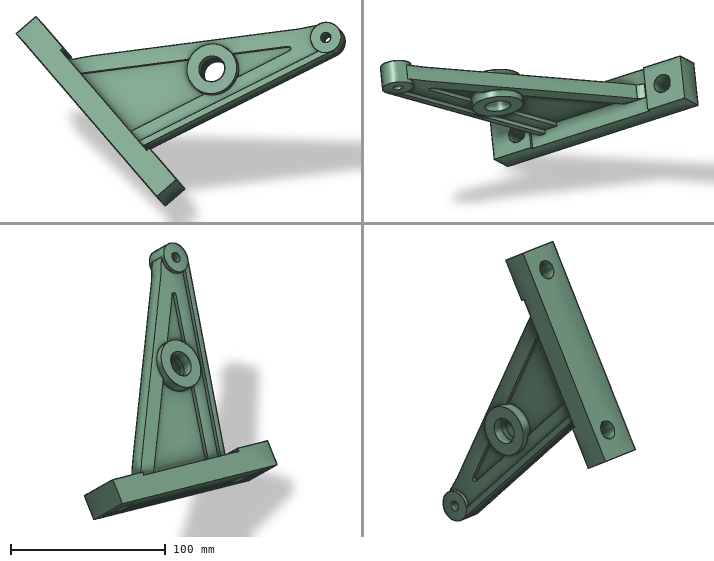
import cadquery as cq
import math

TILT_X = 34.7
TILT_Y = 23.7
TILT_Z = -4.6
PART_ORIGIN = (-92.0, -43.1, 6.3)

BAR_LENGTH = 145.0
BAR_HEIGHT = 14.7
BAR_WIDTH = 29.6
PAD_LENGTH = 28.0
PAD_HEIGHT = 2.2
MOUNT_HOLE_DIAMETER = 12.2
MID_Z = BAR_WIDTH / 2
SECOND_HOLE_DROP = 2.2
MOUNT_HOLE_CENTERS = ((15.5, MID_Z), (126.3, MID_Z - SECOND_HOLE_DROP))

ARM_THICKNESS = 9.8
WEB_THICKNESS = 4.2
FLANGE_WIDTH = 15.1
FLANGE_THICKNESS = 4.0
TIP_CENTER = (136.3, 150.0)
TIP_DIAMETER = 20.0
TIP_HOLE_DIAMETER = 6.6
FLANGE_LEAN = 14.8
LEFT_EDGE_LEAN = 34.5
FOOT_BLEND_START = (29.8, BAR_HEIGHT)
FOOT_BLEND_MIDDLE = (33.0, 15.7)
FOOT_BLEND_END = (35.0, 16.5)
LEFT_EDGE_START = (42.0, 28.0)
LEFT_EDGE_END_Y = 140.9
TIP_JOIN = (126.9, 153.4)
FOOT_ARC_MIDDLE = (38.3, 22.1)

POCKET_LEFT_X = 45.7
POCKET_RIGHT_X = 97.5
POCKET_RIGHT_LEAN = 14.5
POCKET_TIP_RADIUS = 1.7

COLLAR_CENTER = (102.5, 81.0)
COLLAR_DIAMETER = 32.8
COLLAR_BORE = 17.0
COLLARS_OVERALL_WIDTH = 19.0


def centered_slab(outline, thickness):
    """Extrude an outline on the symmetry plane equally to both sides."""
    return outline.extrude(thickness / 2, both=True)


def mid_plane():
    return cq.Workplane("XY", origin=(0, 0, MID_Z))


def cylinder(center, diameter, length):
    return centered_slab(mid_plane().moveTo(*center).circle(diameter / 2), length)


def along_line(start, lean, y):
    """Point at height y on a line through start leaning toward +X."""
    return (start[0] + (y - start[1]) * math.tan(math.radians(lean)), y)


def make_bar():
    """Bar with a pad at each end and a mounting hole through each pad."""
    bar = cq.Workplane("XY").box(BAR_LENGTH, BAR_HEIGHT, BAR_WIDTH, centered=False)
    for start_x in (0, BAR_LENGTH - PAD_LENGTH):
        pad = cq.Workplane("XY", origin=(start_x, BAR_HEIGHT, 0))
        bar = bar.union(pad.box(PAD_LENGTH, PAD_HEIGHT, BAR_WIDTH, centered=False))
    depth = BAR_HEIGHT + PAD_HEIGHT
    holes = cq.Workplane("XZ").pushPoints(MOUNT_HOLE_CENTERS).circle(MOUNT_HOLE_DIAMETER / 2)
    return bar.cut(holes.extrude(-depth))


def flange_outline():
    """Corners of the flange; its outer surface is tangent to the tip boss."""
    lean = math.radians(FLANGE_LEAN)
    radius = TIP_DIAMETER / 2
    outer_top = (TIP_CENTER[0] + radius * math.cos(lean), TIP_CENTER[1] - radius * math.sin(lean))
    outer_foot = along_line(outer_top, FLANGE_LEAN, BAR_HEIGHT)
    inner_foot = (outer_foot[0] - FLANGE_THICKNESS / math.cos(lean), BAR_HEIGHT)
    inner_top = along_line(inner_foot, FLANGE_LEAN, outer_top[1])
    return inner_foot, outer_foot, outer_top, inner_top


def tip_space():
    """Cylinder taken up by the tip boss."""
    return cylinder(TIP_CENTER, TIP_DIAMETER, FLANGE_WIDTH)


def make_tip_boss():
    return tip_space().cut(cylinder(TIP_CENTER, TIP_HOLE_DIAMETER, FLANGE_WIDTH))


def make_flange():
    """Wide strip along the right edge of the plate, from the bar to the tip boss."""
    outline = mid_plane().polyline(flange_outline()).close()
    return centered_slab(outline, FLANGE_WIDTH).cut(tip_space())


def plate_blank():
    """Triangular plate between the bar, the flange and the tip boss, without pockets."""
    inner_foot, _, _, inner_top = flange_outline()
    outline = (
        mid_plane()
        .moveTo(*FOOT_BLEND_START)
        .threePointArc(FOOT_BLEND_MIDDLE, FOOT_BLEND_END)
        .threePointArc(FOOT_ARC_MIDDLE, LEFT_EDGE_START)
        .lineTo(*along_line(LEFT_EDGE_START, LEFT_EDGE_LEAN, LEFT_EDGE_END_Y))
        .lineTo(*TIP_JOIN)
        .lineTo(*TIP_CENTER)
        .lineTo(*inner_top)
        .lineTo(*inner_foot)
        .close()
    )
    return centered_slab(outline, ARM_THICKNESS).cut(tip_space())


def pocket_volume():
    """Triangular opening with a rounded tip, open toward the bar."""
    left = (POCKET_LEFT_X, BAR_HEIGHT)
    right = (POCKET_RIGHT_X, BAR_HEIGHT)
    left_slope = math.tan(math.radians(LEFT_EDGE_LEAN))
    right_slope = math.tan(math.radians(POCKET_RIGHT_LEAN))
    tip_y = BAR_HEIGHT + (POCKET_RIGHT_X - POCKET_LEFT_X) / (left_slope - right_slope)
    outline = mid_plane().polyline([left, right, along_line(left, LEFT_EDGE_LEAN, tip_y)]).close()
    volume = centered_slab(outline, ARM_THICKNESS)
    return volume.edges("|Z and >Y").fillet(POCKET_TIP_RADIUS)


def web():
    """Slab between the pocket floors, wide enough to cover the whole arm."""
    return mid_plane().box(4 * BAR_LENGTH, 4 * BAR_LENGTH, WEB_THICKNESS)


def make_plate():
    """Plate with a pocket and a collar seat in each face, leaving a bored web."""
    collar_seats = cylinder(COLLAR_CENTER, COLLAR_DIAMETER, ARM_THICKNESS)
    plate = plate_blank().cut(pocket_volume().union(collar_seats).cut(web()))
    return plate.cut(cylinder(COLLAR_CENTER, COLLAR_BORE, ARM_THICKNESS))


def make_collar(side):
    """Bored collar seated on one face of the web; side is -1 or 1."""
    length = (COLLARS_OVERALL_WIDTH - WEB_THICKNESS) / 2
    seat = cq.Workplane("XY", origin=(*COLLAR_CENTER, MID_Z + side * WEB_THICKNESS / 2))
    return seat.circle(COLLAR_DIAMETER / 2).circle(COLLAR_BORE / 2).extrude(side * length)


def place(body):
    """Tilt a body about the local origin and move it to its final position."""
    origin = (0, 0, 0)
    body = body.rotate(origin, (1, 0, 0), TILT_X)
    body = body.rotate(origin, (0, 1, 0), TILT_Y)
    body = body.rotate(origin, (0, 0, 1), TILT_Z)
    return body.translate(PART_ORIGIN)


bar = make_bar()
plate = make_plate()
flange = make_flange()
tip_boss = make_tip_boss()
collars = [make_collar(side) for side in (-1, 1)]

bodies = [bar, plate, flange, tip_boss, *collars]
result = cq.Compound.makeCompound([place(body).val() for body in bodies])